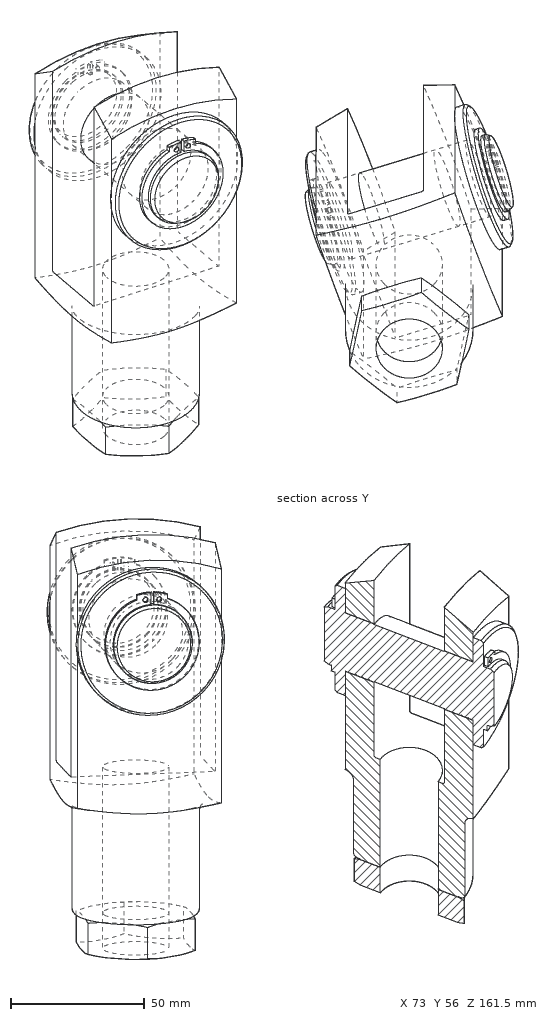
import cadquery as cq
import math

total_height = 161.5
pin_height = 123.5
thread_diameter = 24.9

nut_height = 13.5
nut_across_flats = 41.0
nut_face_radius = 21.0
nut_chamfer_height = 0.8

fork_width = 55.0
slot_width = 30.0
slot_floor = 69.6
slot_corner_radius = 0.8
shank_diameter = 48.0
shank_end_radius = 2.0
shoulder_height = 56.2
shoulder_angle = 15.0
shoulder_fillet = 3.7
crown_radius = 95.3
crown_angle = 30.0

pin_diameter = 30.0
pin_length = 73.0
pin_chamfer_length = 1.6
pin_chamfer_depth = 1.0
washer_diameter = 56.0
washer_thickness = 4.4
washer_chamfer = 1.0
clip_thickness = 1.6
clip_radius = 18.0
lug_radius = 19.5
lug_half_width = 5.8
lug_hole_diameter = 2.0
lug_hole_offset = 2.6
lug_hole_radius = 16.8
clip_gap = 1.3

half_width = fork_width / 2
pin_radius = pin_diameter / 2
shank_radius = shank_diameter / 2
clip_start = half_width + washer_thickness


def make_nut():
    """Hexagon nut with corners along X, turned to a blunt cone at both ends."""
    corner_radius = nut_across_flats / math.sqrt(3)
    hexagon = cq.Workplane("XY").polygon(6, 2 * corner_radius).extrude(nut_height)
    envelope = (
        cq.Workplane("XZ")
        .moveTo(0, 0)
        .lineTo(nut_face_radius, 0)
        .lineTo(corner_radius, nut_chamfer_height)
        .lineTo(corner_radius, nut_height - nut_chamfer_height)
        .lineTo(nut_face_radius, nut_height)
        .lineTo(0, nut_height)
        .close()
        .revolve(360, (0, 0, 0), (0, 1, 0))
    )
    bore = cq.Workplane("XY").circle(thread_diameter / 2).extrude(nut_height)
    return hexagon.intersect(envelope).cut(bore)


def make_fork_blank():
    """Turned shank and conical shoulder, limited to the square fork head."""
    outer_radius = fork_width
    selection_margin = 0.2
    cone_rise = (outer_radius - shank_radius) * math.tan(math.radians(shoulder_angle))
    turned = (
        cq.Workplane("XZ")
        .moveTo(0, nut_height)
        .lineTo(shank_radius, nut_height)
        .lineTo(shank_radius, shoulder_height)
        .lineTo(outer_radius, shoulder_height + cone_rise)
        .lineTo(outer_radius, total_height)
        .lineTo(0, total_height)
        .close()
        .revolve(360, (0, 0, 0), (0, 1, 0))
    )
    shoulder_corner = cq.selectors.BoxSelector(
        (-shank_radius, -shank_radius, shoulder_height - selection_margin),
        (shank_radius, shank_radius, shoulder_height + selection_margin),
    )
    turned = turned.edges(shoulder_corner).fillet(shoulder_fillet)
    turned = turned.faces("<Z").edges().fillet(shank_end_radius)
    square = cq.Workplane("XY").rect(fork_width, fork_width).extrude(total_height)
    return turned.intersect(square)


def make_crown():
    """Body of revolution about a line along X that shapes the sloping fork tips."""
    axis_height = total_height - crown_radius
    slope_drop = (half_width - slot_width / 2) * math.tan(math.radians(crown_angle))
    tip = slot_width / 2
    return (
        cq.Workplane("XZ")
        .moveTo(-half_width, axis_height)
        .lineTo(-half_width, total_height - slope_drop)
        .lineTo(-tip, total_height)
        .lineTo(tip, total_height)
        .lineTo(half_width, total_height - slope_drop)
        .lineTo(half_width, axis_height)
        .close()
        .revolve(360, (0, axis_height, 0), (1, axis_height, 0))
    )


def make_fork():
    """Fork with a slot, a cross hole for the pin and a bore for the rod thread."""
    slot = (
        cq.Workplane("XY", origin=(0, 0, slot_floor))
        .rect(slot_width, fork_width)
        .extrude(total_height - slot_floor)
        .faces("<Z").edges("|Y").fillet(slot_corner_radius)
    )
    bore = cq.Workplane("XY", origin=(0, 0, nut_height)).circle(thread_diameter / 2)
    bore = bore.extrude(slot_floor - nut_height)
    cross_hole = cq.Workplane("YZ", origin=(-half_width, 0, pin_height)).circle(pin_radius)
    cross_hole = cross_hole.extrude(fork_width)
    return make_fork_blank().intersect(make_crown()).cut(slot).cut(bore).cut(cross_hole)


def make_shaft():
    """Turned pin with a washer near each end, revolved about the pin axis."""
    end = pin_length / 2
    washer_radius = washer_diameter / 2
    half_profile = [
        (half_width, pin_radius),
        (half_width, washer_radius),
        (clip_start - washer_chamfer, washer_radius),
        (clip_start, washer_radius - washer_chamfer),
        (clip_start, pin_radius),
        (end - pin_chamfer_length, pin_radius),
        (end, pin_radius - pin_chamfer_depth),
        (end, 0),
    ]
    mirrored = [(-x, r) for x, r in reversed(half_profile)]
    profile = cq.Workplane("XZ", origin=(0, 0, pin_height)).polyline(mirrored + half_profile)
    return profile.close().revolve(360, (0, 0, 0), (1, 0, 0))


def make_clip(start):
    """Circlip with two drilled lugs and a gap at the top, from X = start."""
    plane = cq.Workplane("YZ", origin=(start, 0, pin_height))
    ring = plane.circle(clip_radius).extrude(clip_thickness)
    lug_limit = plane.center(0, lug_radius / 2).rect(2 * lug_half_width, lug_radius)
    lug_limit = lug_limit.extrude(clip_thickness)
    lugs = plane.circle(lug_radius).extrude(clip_thickness)
    lugs = lugs.intersect(lug_limit)
    hole_places = [(side * lug_hole_offset, lug_hole_radius) for side in (-1, 1)]
    holes = plane.pushPoints(hole_places).circle(lug_hole_diameter / 2).extrude(clip_thickness)
    gap = plane.center(0, lug_radius / 2).rect(clip_gap, lug_radius).extrude(clip_thickness)
    shaft_hole = plane.circle(pin_radius).extrude(clip_thickness)
    return ring.union(lugs).cut(holes).cut(gap).cut(shaft_hole)


def make_pin():
    """Pin, washers and circlips as one solid."""
    pin = make_shaft()
    for start in (clip_start, -clip_start - clip_thickness):
        pin = pin.union(make_clip(start))
    return pin


nut = make_nut()
fork = make_fork()
pin = make_pin()
bodies = [body.solids().val() for body in (nut, fork, pin)]
result = cq.Compound.makeCompound(bodies)